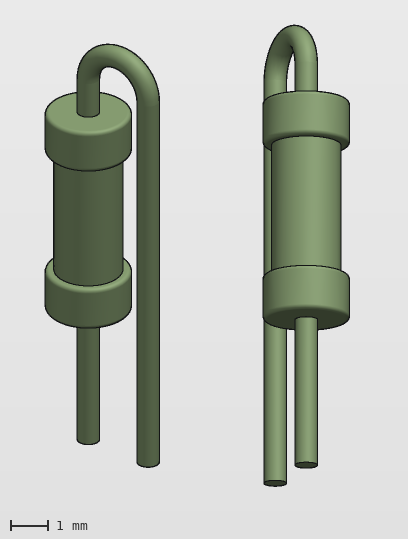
import cadquery as cq

lead_diameter = 0.6
lead_pitch = 1.99
total_height = 12.3
bend_radius = lead_pitch / 2
bend_start_z = total_height - bend_radius - lead_diameter / 2

body_diameter = 1.85
body_bottom_z = 4.0
body_length = 6.0
cap_diameter = 2.3
cap_height = 1.2
cap_edge_radius = 0.11


def cylinder(diameter, bottom_z, height):
    """Vertical cylinder on the body axis."""
    return cq.Workplane("XY").workplane(offset=bottom_z).circle(diameter / 2).extrude(height)


def make_lead():
    """Round wire that rises along Z, turns through a half circle and descends to Z = 0."""
    path = (
        cq.Workplane("XZ")
        .lineTo(0, bend_start_z)
        .threePointArc((bend_radius, bend_start_z + bend_radius), (lead_pitch, bend_start_z))
        .lineTo(lead_pitch, 0)
    )
    return cq.Workplane("XY").circle(lead_diameter / 2).sweep(path)


def make_cap(bottom_z):
    """End cap with both rims rounded."""
    return cylinder(cap_diameter, bottom_z, cap_height).edges().fillet(cap_edge_radius)


result = cylinder(body_diameter, body_bottom_z, body_length)
for cap_bottom_z in (body_bottom_z, body_bottom_z + body_length - cap_height):
    result = result.union(make_cap(cap_bottom_z))
result = result.union(make_lead())